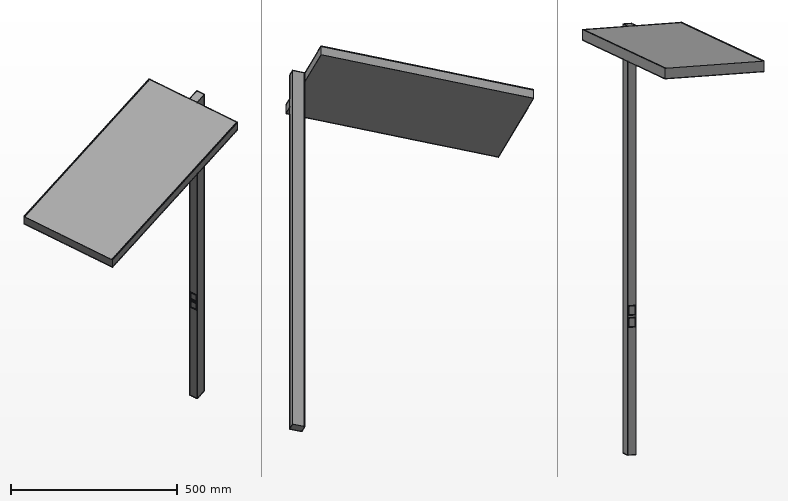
import cadquery as cq

total_height = 1311.0
head_width = 320.0
head_length = 676.0
head_thickness = 33.0
post_width = 28.0
post_depth = 39.0

rim_width = 3.0
panel_recess = 0.4

strip_thickness = 3.0
strip_inset = 0.4

button_heights = (405.0, 442.0)
pocket_width = 24.0
pocket_height = 30.0
pocket_depth = 1.0
button_gap = 2.0


def block(width, depth, height, front_y, base_z):
    """Box centred on X, with its front face at front_y and its base at base_z."""
    box = cq.Workplane("XY").box(width, depth, height, centered=(True, False, False))
    return box.translate((0, front_y, base_z))


def make_head():
    """Flat head in front of the post, with its top panel sunk between the rims."""
    plate = block(head_width, head_length, head_thickness, -head_length, total_height - head_thickness)
    panel_width = head_width - 2 * rim_width
    recess = block(panel_width, head_length, panel_recess, -head_length, total_height - panel_recess)
    return plate.cut(recess)


def make_post():
    """Rectangular post with a slightly narrower strip along its front."""
    body = block(post_width, post_depth - strip_thickness, total_height, strip_thickness, 0)
    strip = block(post_width - 2 * strip_inset, strip_thickness, total_height, 0, 0)
    return body.union(strip)


def button_pocket(center_z):
    """Ring-shaped cut that leaves one button standing flush with the post."""
    button_width = pocket_width - 2 * button_gap
    button_height = pocket_height - 2 * button_gap
    pocket = block(pocket_width, pocket_depth, pocket_height, 0, center_z - pocket_height / 2)
    button = block(button_width, pocket_depth, button_height, 0, center_z - button_height / 2)
    return pocket.cut(button)


result = make_post().union(make_head())
for button_z in button_heights:
    result = result.cut(button_pocket(button_z))